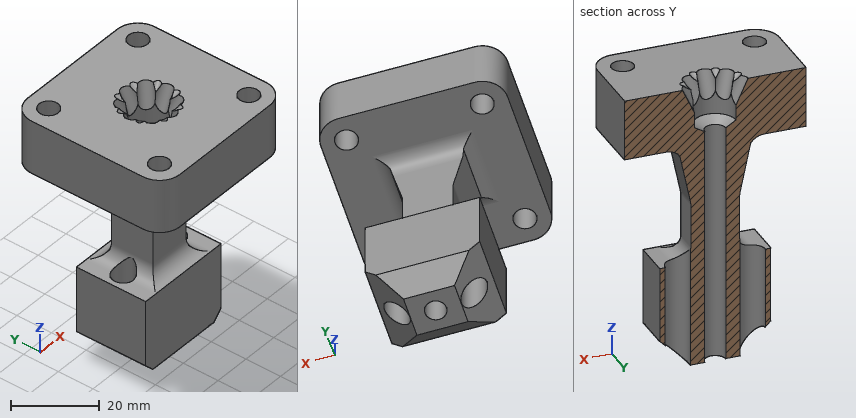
import cadquery as cq
import math

total_height = 70.0

plate_side = 44.0
plate_thickness = 15.0
plate_corner_radius = 5.95
plate_bottom = total_height - plate_thickness
bolt_hole_diameter = 5.4
bolt_hole_spacing = 32.0

block_length = 27.0
block_width = 20.0
block_height = 26.0
end_chamfer = 7.5
side_chamfer = 5.0

neck_side = 12.0
neck_fillet = (block_width - neck_side) / 2
flare_height = 14.0
flare_bottom = plate_bottom - flare_height
flare_top_width = 18.0
flare_blend_radius = 4.7
flare_foot_width = 15.7

side_hole_diameter = 6.0
side_hole_offset = 9.1
side_hole_top = block_height + neck_fillet

through_bore_diameter = 5.05
bore_diameter = 10.0
bore_depth = 10.0
bore_floor_slope = 31.0

flute_count = 8
flute_pitch = 360 / flute_count
large_flute_diameter = 4.2
large_flute_tilt = 25.0
large_flute_ring_radius = 5.6
small_flute_diameter = 2.5
small_flute_tilt = 60.0
small_flute_ring_radius = 5.45


def slab(outline):
    """Extrude a closed outline both ways across the full plate."""
    return outline.extrude(plate_side / 2, both=True)


def make_plate():
    plate = cq.Workplane("XY", origin=(0, 0, plate_bottom)).rect(plate_side, plate_side)
    return plate.extrude(plate_thickness).edges("|Z").fillet(plate_corner_radius)


def chamfered_slab(plane, width, chamfer):
    """Slab as high as the block, with both lower corners cut at 45 degrees."""
    half = width / 2
    return slab(cq.Workplane(plane).polyline([
        (-half, block_height),
        (-half, chamfer),
        (-half + chamfer, 0),
        (half - chamfer, 0),
        (half, chamfer),
        (half, block_height),
    ]).close())


def make_block():
    lengthwise = chamfered_slab("XZ", block_length, end_chamfer)
    crosswise = chamfered_slab("YZ", block_width, side_chamfer)
    return lengthwise.intersect(crosswise)


def spread_foot(plane, width, level, direction):
    """Slab that spreads in two quarter rounds onto the flat at the given level."""
    half = width / 2
    bend = direction * neck_fillet
    return slab(
        cq.Workplane(plane)
        .moveTo(-half - neck_fillet, level)
        .lineTo(half + neck_fillet, level)
        .radiusArc((half, level + bend), bend)
        .lineTo(-half, level + bend)
        .radiusArc((-half - neck_fillet, level), bend)
        .close()
    )


def make_flared_shaft():
    """Straight shaft that widens in X towards the plate, with a soft bend where the flare starts."""
    half = neck_side / 2
    half_top = flare_top_width / 2
    shaft = slab(cq.Workplane("XZ").polyline([
        (-half, block_height),
        (half, block_height),
        (half, flare_bottom),
        (half_top, plate_bottom),
        (-half_top, plate_bottom),
        (-half, flare_bottom),
    ]).close())
    margin = 0.7
    bend_edges = cq.selectors.BoxSelector(
        (-half - margin, -margin, flare_bottom - margin),
        (half + margin, margin, flare_bottom + margin),
    )
    return shaft.edges(bend_edges).fillet(flare_blend_radius)


def make_neck():
    """Intersect the X and Y profiles so that the fillets meet in mitred corners."""
    lengthwise = (
        make_flared_shaft()
        .union(spread_foot("XZ", neck_side, block_height, 1))
        .union(spread_foot("XZ", flare_foot_width, plate_bottom, -1))
    )
    crosswise = (
        slab(cq.Workplane("YZ").rect(neck_side, 2 * total_height))
        .union(spread_foot("YZ", neck_side, block_height, 1))
        .union(spread_foot("YZ", neck_side, plate_bottom, -1))
    )
    return lengthwise.intersect(crosswise)


def make_bore():
    inner = through_bore_diameter / 2
    outer = bore_diameter / 2
    cone_top = total_height - bore_depth
    cone_bottom = cone_top - (outer - inner) * math.tan(math.radians(bore_floor_slope))
    profile = cq.Workplane("XZ").polyline([
        (0, 0),
        (inner, 0),
        (inner, cone_bottom),
        (outer, cone_top),
        (outer, total_height),
        (0, total_height),
    ]).close()
    return profile.revolve(360, (0, 0), (0, 1))


def make_flutes(diameter, tilt, ring_radius, first_angle):
    """Cylinders leaning outward, whose axes cross the plate top on a circle of ring_radius."""
    lean = math.radians(tilt)
    start_radius = ring_radius / 2
    start_depth = (ring_radius - start_radius) / math.tan(lean)
    start = cq.Vector(start_radius, 0, total_height - start_depth)
    direction = cq.Vector(math.sin(lean), 0, math.cos(lean))
    length = start_depth / math.cos(lean) + diameter * math.tan(lean)
    flute = cq.Solid.makeCylinder(diameter / 2, length, start, direction)
    axis_start = cq.Vector(0, 0, 0)
    axis_end = cq.Vector(0, 0, 1)
    return [
        flute.rotate(axis_start, axis_end, first_angle + i * flute_pitch)
        for i in range(flute_count)
    ]


def make_bolt_holes():
    holes = cq.Workplane("XY", origin=(0, 0, plate_bottom))
    holes = holes.rect(bolt_hole_spacing, bolt_hole_spacing, forConstruction=True).vertices()
    return holes.circle(bolt_hole_diameter / 2).extrude(plate_thickness)


def make_side_holes():
    holes = cq.Workplane("XY").pushPoints([(-side_hole_offset, 0), (side_hole_offset, 0)])
    return holes.circle(side_hole_diameter / 2).extrude(side_hole_top)


result = make_plate().union(make_neck()).union(make_block())
result = result.cut(make_bolt_holes()).cut(make_side_holes()).cut(make_bore())

large_flutes = make_flutes(large_flute_diameter, large_flute_tilt, large_flute_ring_radius, 0)
small_flutes = make_flutes(
    small_flute_diameter, small_flute_tilt, small_flute_ring_radius, flute_pitch / 2
)
for flute in large_flutes + small_flutes:
    result = result.cut(cq.Workplane(flute))